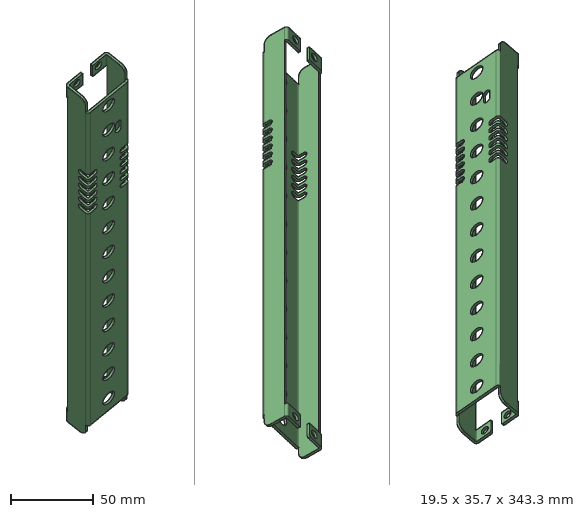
import cadquery as cq

depth = 19.5
width = 35.7
length = 343.3

sheet = 1.7
bend_inner = 0.3
bend_outer = sheet + bend_inner

tab_height = 11.3
tab_gap = 8.5
tab_corner_radius = 1.5
flange_top_radius = 5.0
flange_bottom_radius = 5.5

tab_hole_diameter = 5.5
tab_hole_y = 9.3
top_tab_hole_drop = 5.0
bottom_tab_hole_rise = 5.5

web_hole_diameter = 10.0
web_hole_count = 13
web_hole_span = 300.0
web_hole_pitch = web_hole_span / (web_hole_count - 1)
first_web_hole_z = 23.7

web_slot_width = 4.8
web_slot_length = 11.0
web_slot_y = 8.2
web_slot_z = 294.2

vent_height = 4.5
vent_count = 6
vent_span = 35.5
vent_pitch = vent_span / (vent_count - 1)
first_vent_z = 231.0
vent_reach_web = 8.0
vent_reach_flange = 8.2

web_face_x = depth / 2
tab_face_x = -depth / 2
flange_edge_x = tab_face_x + bend_outer
flange_end_x = web_face_x - bend_outer
side_y = width / 2
web_bottom_z = tab_height
web_top_z = length - tab_height


def block(x_range, y_range, z_range):
    """Box between the given low and high limits."""
    size = [high - low for low, high in (x_range, y_range, z_range)]
    corner = (x_range[0], y_range[0], z_range[0])
    return cq.Workplane("XY").box(*size, centered=False).translate(corner)


def folded_tube():
    """Closed rectangular tube with bent corners, over the full length."""
    outer = cq.Workplane("XY").rect(depth, width).extrude(length)
    outer = outer.edges("|Z").fillet(bend_outer)
    inner = cq.Workplane("XY").rect(depth - 2 * sheet, width - 2 * sheet).extrude(length)
    inner = inner.edges("|Z").fillet(bend_inner)
    return outer.cut(inner)


def side_outline():
    """XZ silhouette: flanges with rounded ends, web strip and end tabs."""
    full_y = (-side_y, side_y)
    flange = block((flange_edge_x, flange_end_x), full_y, (0, length))
    flange = flange.edges("|Y and >X and >Z").fillet(flange_top_radius)
    flange = flange.edges("|Y and >X and <Z").fillet(flange_bottom_radius)
    web = block((flange_end_x, web_face_x), full_y, (web_bottom_z, web_top_z))
    bottom_tabs = block((tab_face_x, flange_edge_x), full_y, (0, web_bottom_z))
    top_tabs = block((tab_face_x, flange_edge_x), full_y, (web_top_z, length))
    return flange.union(web).union(bottom_tabs).union(top_tabs)


def tab_gap_cutter():
    """Opening between the left and right tabs."""
    return block((tab_face_x, flange_edge_x), (-tab_gap / 2, tab_gap / 2), (0, length))


def round_bottom_tabs(part):
    """Round the lower inner corner of each bottom tab."""
    corner_reach = tab_gap / 2 + tab_corner_radius
    corner_zone = cq.selectors.BoxSelector(
        (tab_face_x - sheet, -corner_reach, -sheet),
        (flange_edge_x, corner_reach, sheet),
    )
    return part.edges("|X").edges(corner_zone).fillet(tab_corner_radius)


def x_cylinder(diameter, y, z, start_x):
    """Cylinder along +X that crosses the wall starting at start_x."""
    plane = cq.Workplane("YZ", origin=(start_x, y, z))
    return plane.circle(diameter / 2).extrude(bend_outer)


def tab_holes():
    """One round hole through each of the four tabs."""
    cutters = cq.Workplane("XY")
    for z in (bottom_tab_hole_rise, length - top_tab_hole_drop):
        for y in (-tab_hole_y, tab_hole_y):
            cutters = cutters.add(x_cylinder(tab_hole_diameter, y, z, tab_face_x))
    return cutters.combine()


def web_openings():
    """Row of round holes along the web centreline and the offset upright slot."""
    cutters = cq.Workplane("XY")
    for index in range(web_hole_count):
        z = first_web_hole_z + index * web_hole_pitch
        cutters = cutters.add(x_cylinder(web_hole_diameter, 0, z, flange_end_x))
    slot = cq.Workplane("YZ", origin=(flange_end_x, web_slot_y, web_slot_z))
    slot = slot.slot2D(web_slot_length, web_slot_width, 90).extrude(bend_outer)
    return cutters.add(slot).combine()


def vent_slots(side):
    """Round-ended slots across one web bend; side is +1 or -1 along Y."""
    points = [(0, first_vent_z + index * vent_pitch) for index in range(vent_count)]
    in_web = cq.Workplane("YZ", origin=(flange_end_x, side * side_y, 0)).pushPoints(points)
    in_web = in_web.slot2D(2 * vent_reach_web, vent_height).extrude(bend_outer)
    in_flange = cq.Workplane("XZ", origin=(web_face_x, side * side_y, 0)).pushPoints(points)
    in_flange = in_flange.slot2D(2 * vent_reach_flange, vent_height).extrude(side * bend_outer)
    return in_web.union(in_flange)


result = folded_tube().intersect(side_outline()).cut(tab_gap_cutter())

result = round_bottom_tabs(result)
result = result.cut(tab_holes()).cut(web_openings())
for side in (-1, 1):
    result = result.cut(vent_slots(side))